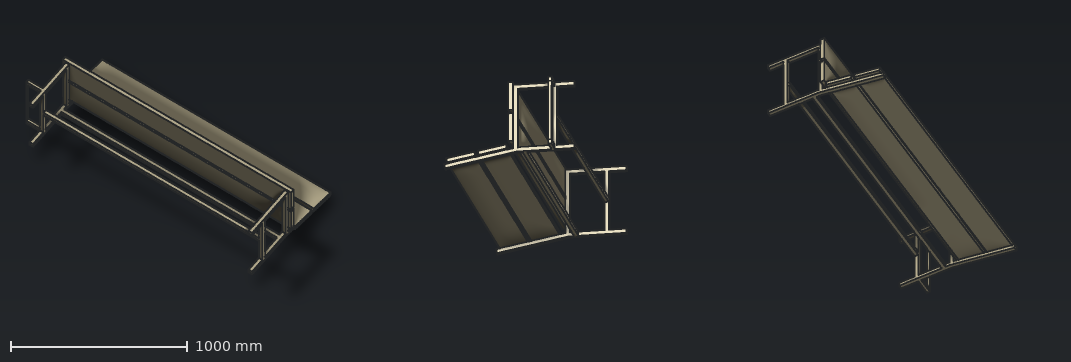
import cadquery as cq
import math

tube = 25.0
frame_height = 400.0
back_post_y = 351.0
front_post_y = 100.0
mid_bar_z = 190.0
lower_bar_y = 275.0

overall_length = 1671.0
board_width = 165.0
board_thickness = 25.0
board_gap = 20.0
board_overhang = 20.0
board_rise = 10.0

slope = 10.0
arm_bend_y = 330.0
arm_length = 423.0
arm_end_margin = 20.0

strip_thickness = 1.0
loop_bar_length = 100.0
loop_width = 20.0
loop_y = front_post_y + 10.0

left_frame_x = strip_thickness + loop_bar_length
board_x = left_frame_x - board_overhang
board_length = overall_length - board_x
right_frame_x = overall_length - board_overhang - tube
top_rail_z = frame_height - tube
board_pitch = board_width + board_gap


def block(x, y, z, dx, dy, dz):
    """Box placed by its lowest corner."""
    return cq.Workplane("XY").box(dx, dy, dz, centered=False).translate((x, y, z))


def place_on_arm(shape):
    """Tilt a shape drawn along a level arm down about the underside of the bend."""
    pivot = (0, arm_bend_y, 0)
    return shape.rotate(pivot, (1, arm_bend_y, 0), -slope)


def sloping_arm(x):
    """Arm running out from beneath the back post; its top edge starts above the bend."""
    angle = math.radians(slope)
    tip_y = arm_bend_y + arm_length * math.cos(angle)
    tip_z = -arm_length * math.sin(angle)
    profile = [
        (arm_bend_y, 0),
        (tip_y, tip_z),
        (tip_y + tube * math.sin(angle), tip_z + tube * math.cos(angle)),
        (arm_bend_y, tube / math.cos(angle)),
    ]
    return cq.Workplane("YZ").polyline(profile).close().extrude(tube).translate((x, 0, 0))


def side_frame(x):
    """Two rails, two posts and the sloping arm."""
    frame = block(x, 0, 0, tube, back_post_y, tube)
    frame = frame.union(block(x, 0, top_rail_z, tube, back_post_y, tube))
    for post_y in (front_post_y, back_post_y - tube):
        frame = frame.union(block(x, post_y, 0, tube, tube, frame_height))
    return frame.union(sloping_arm(x))


def cross_bar(y, z):
    start = left_frame_x + tube
    return block(start, y, z, right_frame_x - start, tube, tube)


def side_loop():
    loop = block(0, loop_y, 0, strip_thickness, loop_width, frame_height)
    for z in (0, top_rail_z):
        loop = loop.union(block(strip_thickness, loop_y, z, loop_bar_length, loop_width, tube))
    return loop


def upright_board(index):
    z = frame_height + board_rise - board_width - index * board_pitch
    return block(board_x, back_post_y, z, board_length, board_thickness, board_width)


def sloping_board(index):
    y = arm_bend_y + arm_length - arm_end_margin - board_width - index * board_pitch
    return place_on_arm(block(board_x, y, tube, board_length, board_width, board_thickness))


result = side_frame(left_frame_x).union(side_frame(right_frame_x))
result = result.union(cross_bar(front_post_y, mid_bar_z))
result = result.union(cross_bar(lower_bar_y, 0))
result = result.union(side_loop())
for board_index in range(2):
    result = result.union(upright_board(board_index))
    result = result.union(sloping_board(board_index))